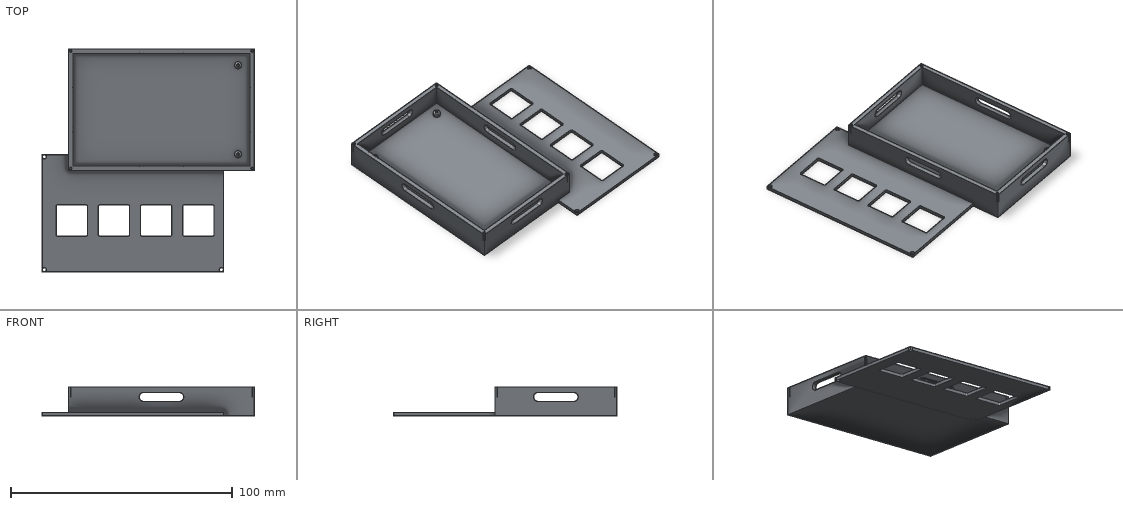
import cadquery as cq

tray_length = 84.0
tray_width = 55.0
tray_height = 13.0
wall = 2.0
floor_thickness = 3.0

plate_length = 82.0
plate_width = 53.0
plate_thickness = 1.5
overall_length = 95.9
overall_width = 100.73
plate_x = tray_length - overall_length
plate_y = tray_width - overall_width

tray_screw_inset = 1.0
screw_core_diameter = 0.97
screw_relief_span = 1.4
screw_relief_width = 0.2
tray_screw_depth = 4.5
plate_screw_inset = 1.0
plate_screw_diameter = 1.8

slot_length = 20.0
slot_height = 4.0
slot_center_z = 8.5

post_diameter = 3.2
post_height = 2.2
post_top_fillet = 1.0
post_hole_depth = 1.0
post_edge_distance = 7.4

window_size = 14.0
window_pitch = 19.05
window_count = 4
window_corner_radius = 0.5
window_row_x = 42.0
window_row_y = 23.22


def corner_points(length, width, inset):
    """Four points set in from the corners of a rectangle that starts at the origin."""
    return [(x, y) for x in (inset, length - inset) for y in (inset, width - inset)]


def plate_blank():
    """The plain plate, in its place; it also serves as the cutter for the tray recess."""
    blank = cq.Workplane().box(plate_length, plate_width, plate_thickness, centered=False)
    return blank.translate((plate_x, plate_y, 0))


def make_plate():
    screw_holes = (
        cq.Workplane()
        .pushPoints(corner_points(plate_length, plate_width, plate_screw_inset))
        .circle(plate_screw_diameter / 2)
        .extrude(plate_thickness)
    )
    windows = (
        cq.Workplane()
        .center(window_row_x, window_row_y)
        .rarray(window_pitch, 1, window_count, 1)
        .rect(window_size, window_size)
        .extrude(plate_thickness)
        .edges("|Z")
        .fillet(window_corner_radius)
    )
    openings = screw_holes.union(windows).translate((plate_x, plate_y, 0))
    return plate_blank().cut(openings)


def handle_slot(plane, through):
    """A round-ended bar along the plane's normal, passing through two opposite walls."""
    return (
        cq.Workplane(plane, origin=(tray_length / 2, tray_width / 2, slot_center_z))
        .slot2D(slot_length, slot_height)
        .extrude(through / 2, both=True)
    )


def screw_hole(depth):
    """Cutter for a blind hole with four relief grooves, from the origin downwards."""
    cutter = cq.Workplane().circle(screw_core_diameter / 2).extrude(-depth)
    for size_x, size_y in (
        (screw_relief_span, screw_relief_width),
        (screw_relief_width, screw_relief_span),
    ):
        cutter = cutter.union(cq.Workplane().rect(size_x, size_y).extrude(-depth))
    return cutter


def make_post():
    post = cq.Workplane().circle(post_diameter / 2).extrude(post_height)
    post = post.faces(">Z").edges().fillet(post_top_fillet)
    return post.cut(screw_hole(post_hole_depth).translate((0, 0, post_height)))


def make_tray():
    tray = cq.Workplane().box(tray_length, tray_width, tray_height, centered=False)
    cavity = cq.Workplane().box(
        tray_length - 2 * wall, tray_width - 2 * wall, tray_height, centered=False
    )
    tray = tray.cut(cavity.translate((wall, wall, floor_thickness)))
    tray = tray.cut(handle_slot("XZ", tray_width))
    tray = tray.cut(handle_slot("YZ", tray_length))
    for x, y in corner_points(tray_length, tray_width, tray_screw_inset):
        tray = tray.cut(screw_hole(tray_screw_depth).translate((x, y, tray_height)))
    for y in (post_edge_distance, tray_width - post_edge_distance):
        post = make_post().translate((tray_length - post_edge_distance, y, floor_thickness))
        tray = tray.union(post)
    return tray.cut(plate_blank())


plate = make_plate()
tray = make_tray()
result = cq.Compound.makeCompound([tray.solids().val(), plate.solids().val()])